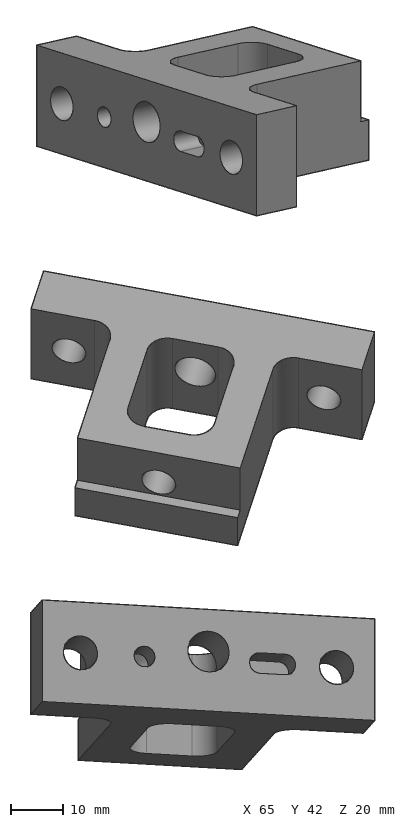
import cadquery as cq
import math

width = 65.0
depth = 42.0
height = 20.0
flange_thickness = 10.0
corner_radius = 4.0

stem_width = 32.0
ledge_depth = 2.0
ledge_height = 8.0

window_width = 16.95
window_front = 10.9
window_length = 23.1

mid_height = height / 2
mount_hole_diameter = 6.6
mount_hole_offset = 25.0
pin_offset = mount_hole_offset / 2
pin_diameter = 4.0
pin_depth = 6.0
drill_point_angle = 118.0
slot_length = 9.0
slot_depth = pin_depth
bore_rise = 1.7
bore_front_diameter = 8.0
bore_rear_diameter = 6.6


def front_plane(x, z, y=0.0):
    """Workplane facing the rear (+Y), with its origin at the given point."""
    return cq.Workplane(cq.Plane(origin=(x, y, z), xDir=(1, 0, 0), normal=(0, 1, 0)))


def round_hole(x, z, diameter, length, y=0.0):
    return front_plane(x, z, y).circle(diameter / 2).extrude(length)


def make_body():
    flange = cq.Workplane("XY").box(width, flange_thickness, height, centered=(True, False, False))
    stem = cq.Workplane("XY").box(stem_width, depth, height, centered=(True, False, False))
    margin = corner_radius / 2
    inner_corners = cq.selectors.BoxSelector(
        (-stem_width / 2 - margin, flange_thickness - margin, -margin),
        (stem_width / 2 + margin, flange_thickness + margin, height + margin),
    )
    body = flange.union(stem).edges("|Z").edges(inner_corners).fillet(corner_radius)
    rear_step = (
        cq.Workplane("XY")
        .box(stem_width, ledge_depth, height - ledge_height, centered=(True, False, False))
        .translate((0, depth - ledge_depth, ledge_height))
    )
    return body.cut(rear_step)


def make_window():
    return (
        cq.Workplane("XY")
        .box(window_width, window_length, height, centered=(True, False, False))
        .edges("|Z")
        .fillet(corner_radius)
        .translate((0, window_front, 0))
    )


def make_pin_hole():
    """Blind hole with a conical drill point."""
    radius = pin_diameter / 2
    point_length = radius / math.tan(math.radians(drill_point_angle / 2))
    return (
        cq.Workplane("XY", origin=(-pin_offset, 0, mid_height))
        .polyline([(0, 0), (radius, 0), (radius, pin_depth), (0, pin_depth + point_length)])
        .close()
        .revolve(360, (0, 0), (0, 1))
    )


def make_pin_slot():
    return front_plane(pin_offset, mid_height).slot2D(slot_length, pin_diameter).extrude(slot_depth)


result = make_body().cut(make_window()).cut(make_pin_hole()).cut(make_pin_slot())

for side in (-1, 1):
    result = result.cut(round_hole(side * mount_hole_offset, mid_height, mount_hole_diameter, flange_thickness))

bore_height = mid_height + bore_rise
window_middle = window_front + window_length / 2
result = result.cut(round_hole(0, bore_height, bore_front_diameter, window_middle))
result = result.cut(round_hole(0, bore_height, bore_rear_diameter, depth - window_middle, window_middle))